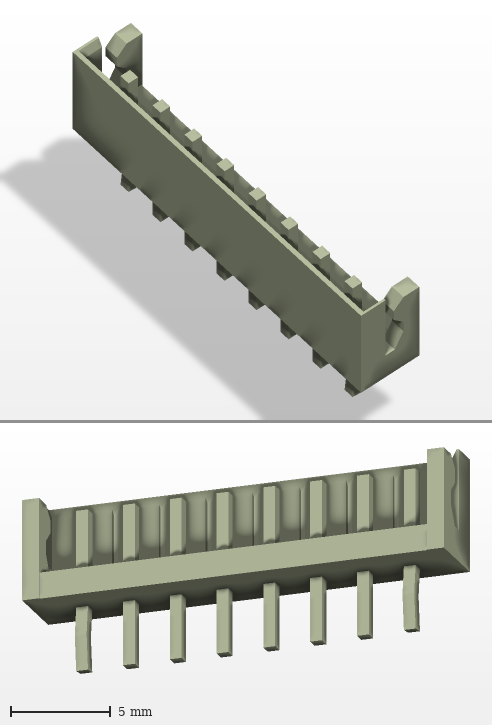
import cadquery as cq


length = 22.5
depth = 3.8
height = 6.0
floor_top = 1.69
front_wall = 0.52
end_wall = 0.38
end_wall_depth = 1.6

bevel_height = 0.5
front_rim = 0.27
end_rim = 0.14

latch_width = 0.9
latch_top = 5.35
latch_nose = 2.14
latch_recess = 2.77
latch_base = 2.2
nose_top = 4.72
nose_bottom = 4.05
recess_top = 3.42
recess_bottom = 2.7

ledge_inset = 0.07
ledge_front = 2.95
ledge_slope_start = 2.18
ledge_drop = 0.3

wedge_width = 0.45
wedge_front = 0.97
wedge_back = end_wall_depth
wedge_top = floor_top + (wedge_back - wedge_front)

rib_width = 0.32
rib_reach = 0.18

pin_count = 8
pitch = 2.5
pin_size = 0.63
pin_y = end_wall_depth
pin_top = 5.15
pin_tail = 3.4
kink_depth = 1.55
kink_offset = 0.2

half_length = length / 2
inner_half_length = half_length - end_wall
row_start = -pitch * (pin_count - 1) / 2


def extrude_along_x(points, x_start, width):
    """Prism of a (y, z) outline, running from x_start towards +X."""
    return cq.Workplane("YZ", origin=(x_start, 0, 0)).polyline(points).close().extrude(width)


def make_shell():
    """Floor, front wall and the two short end walls."""
    floor = cq.Workplane("XY").box(length, depth, floor_top, centered=(True, False, False))
    walls = cq.Workplane("XY").box(length, end_wall_depth, height, centered=(True, False, False))
    cavity = (
        cq.Workplane("XY", origin=(0, front_wall, floor_top))
        .box(2 * inner_half_length, depth, height, centered=(True, False, False))
    )
    return floor.union(walls.cut(cavity))


def make_ribs():
    """Vertical V-shaped ribs on the inside of the front wall, midway between pins."""
    ribs = cq.Workplane("XY")
    for i in range(pin_count - 1):
        x = row_start + (i + 0.5) * pitch
        outline = [
            (x - rib_width / 2, front_wall),
            (x + rib_width / 2, front_wall),
            (x, front_wall + rib_reach),
        ]
        rib = cq.Workplane("XY", origin=(0, 0, floor_top)).polyline(outline).close()
        ribs = ribs.add(rib.extrude(height - floor_top))
    return ribs.combine()


def make_rim_bevel():
    """Tapered mouth of the cavity: a front slope and two end slopes, mitred where they meet.

    The front slope carries on below the rim so that it also bevels the tops of the ribs.
    """
    front_slope = bevel_height / (front_wall - front_rim)
    run = front_wall + rib_reach - front_rim
    bottom = height - front_slope * run
    front_outline = [
        (front_rim, height),
        (front_rim + run, bottom),
        (depth, bottom),
        (depth, height),
    ]
    rim_x = half_length - end_rim
    end_outline = [
        (-rim_x, height),
        (-inner_half_length, height - bevel_height),
        (-inner_half_length, bottom),
        (inner_half_length, bottom),
        (inner_half_length, height - bevel_height),
        (rim_x, height),
    ]
    above_front_slope = extrude_along_x(front_outline, -half_length, length)
    between_end_slopes = cq.Workplane("XZ").polyline(end_outline).close().extrude(-depth)
    return above_front_slope.intersect(between_end_slopes)


def make_latch(x_start):
    outline = [
        (depth, 0),
        (depth, latch_top),
        (latch_recess, latch_top),
        (latch_nose, nose_top),
        (latch_nose, nose_bottom),
        (latch_recess, recess_top),
        (latch_recess, recess_bottom),
        (latch_base, floor_top),
        (latch_base, 0),
    ]
    return extrude_along_x(outline, x_start, latch_width)


def make_wedge(x_start):
    outline = [(wedge_front, floor_top), (wedge_back, floor_top), (wedge_back, wedge_top)]
    return extrude_along_x(outline, x_start, wedge_width)


def make_ledge_cut():
    back = depth - ledge_inset
    outline = [
        (ledge_slope_start, floor_top),
        (ledge_front, floor_top - ledge_drop),
        (back, floor_top - ledge_drop),
        (back, 0),
        (depth, 0),
        (depth, floor_top),
    ]
    return extrude_along_x(outline, latch_width - half_length, length - 2 * latch_width)


def make_straight_pin(x):
    front = pin_y - pin_size / 2
    outline = [
        (front, -pin_tail),
        (front + pin_size, -pin_tail),
        (front + pin_size, pin_top),
        (front, pin_top),
    ]
    return extrude_along_x(outline, x - pin_size / 2, pin_size)


def make_kinked_pin(x):
    """End pin whose tail bows towards +Y and is cut square to its lower leg."""
    front = pin_y - pin_size / 2
    back = front + pin_size
    tip_rise = pin_size * kink_offset / (pin_tail - kink_depth)
    outline = [
        (front, pin_top),
        (front, 0),
        (front + kink_offset, -kink_depth),
        (front, -pin_tail + tip_rise),
        (back, -pin_tail),
        (back + kink_offset, -kink_depth),
        (back, 0),
        (back, pin_top),
    ]
    return extrude_along_x(outline, x - pin_size / 2, pin_size)


body = make_shell().union(make_ribs()).cut(make_rim_bevel()).cut(make_ledge_cut())
for latch_start in (-half_length, half_length - latch_width):
    body = body.union(make_latch(latch_start))
for wedge_start in (-inner_half_length, inner_half_length - wedge_width):
    body = body.union(make_wedge(wedge_start))

for i in range(pin_count):
    is_end_pin = i in (0, pin_count - 1)
    make_pin = make_kinked_pin if is_end_pin else make_straight_pin
    body = body.union(make_pin(row_start + i * pitch))

result = body